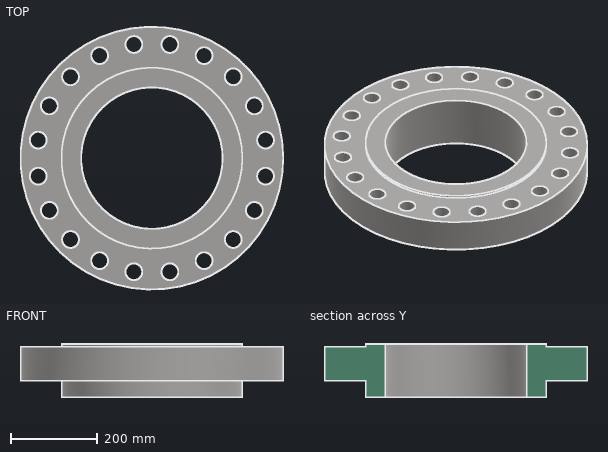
import cadquery as cq

flange_diameter = 609.5
face_diameter = 419.5
bore_diameter = 327.5
total_height = 124.0
hub_height = 38.5
raised_face_height = 6.0
bolt_circle_diameter = 533.5
bolt_hole_diameter = 38.5
bolt_hole_count = 20

flange_thickness = total_height - hub_height - raised_face_height
bolt_pitch_angle = 360 / bolt_hole_count

flange = (
    cq.Workplane("XY", origin=(0, 0, hub_height))
    .circle(flange_diameter / 2)
    .extrude(flange_thickness)
)

core = cq.Workplane("XY").circle(face_diameter / 2).extrude(total_height)

bore = cq.Workplane("XY").circle(bore_diameter / 2).extrude(total_height)

bolt_holes = (
    cq.Workplane("XY")
    .polarArray(bolt_circle_diameter / 2, bolt_pitch_angle / 2, 360, bolt_hole_count)
    .circle(bolt_hole_diameter / 2)
    .extrude(total_height)
)

result = flange.union(core).cut(bore).cut(bolt_holes)